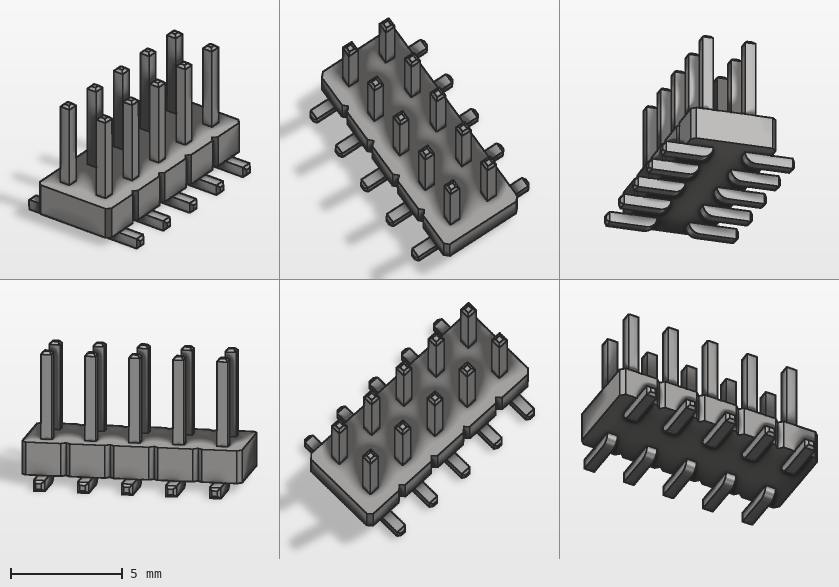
import cadquery as cq

pitch = 2.0
columns = 2
rows = 5

body_height = 1.5
body_corner = 0.2
body_width = columns * pitch

pin_size = 0.5
pin_rise = 4.0
foot_span = 6.2
tip_chamfer = pin_size / 4
bend_radius = pin_size

body_bottom = pin_size
pin_top = body_bottom + body_height + pin_rise
pin_x = pitch / 2
foot_tip_x = foot_span / 2


def row_positions():
    """Y positions of the pin rows, centred on the origin."""
    return [(row - (rows - 1) / 2) * pitch for row in range(rows)]


def make_body():
    """Row of identical blocks with chamfered vertical edges."""
    body = cq.Workplane("XY")
    for y in row_positions():
        segment = (
            cq.Workplane("XY", origin=(0, y, body_bottom))
            .rect(body_width, pitch)
            .extrude(body_height)
            .edges("|Z")
            .chamfer(body_corner)
        )
        body = body.union(segment)
    return body


def make_pin():
    """L-shaped pin at Y = 0: upright post, rounded outer bend, foot towards +X."""
    inner_x = pin_x - pin_size / 2
    post = (
        cq.Workplane("XY", origin=(pin_x, 0, 0))
        .rect(pin_size, pin_size)
        .extrude(pin_top)
        .faces(">Z")
        .chamfer(tip_chamfer)
    )
    foot = (
        cq.Workplane("YZ", origin=(inner_x, 0, pin_size / 2))
        .rect(pin_size, pin_size)
        .extrude(foot_tip_x - inner_x)
        .faces(">X")
        .chamfer(tip_chamfer)
    )
    return post.union(foot).edges("|Y and <X and <Z").fillet(bend_radius)


def make_row(y):
    """Mirrored pair of pins with their feet pointing outwards."""
    pin = make_pin()
    return pin.union(pin.mirror("YZ")).translate((0, y, 0))


result = make_body()
for row_y in row_positions():
    result = result.union(make_row(row_y))